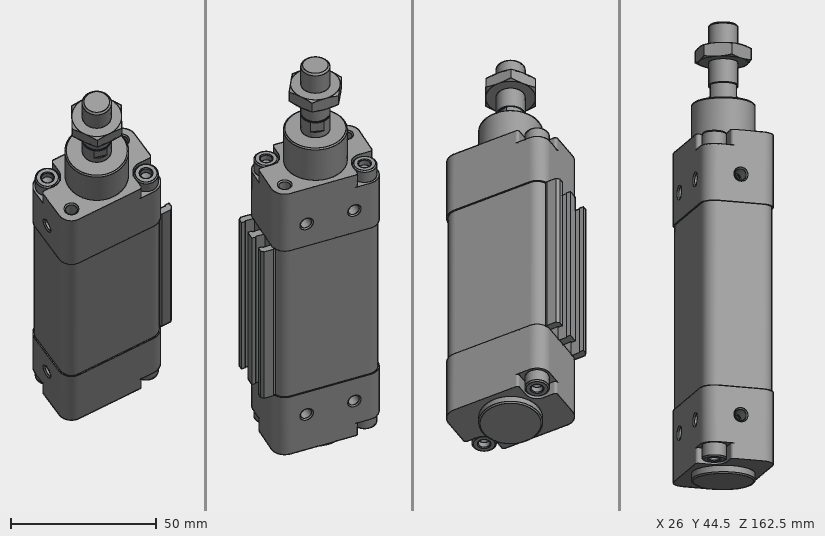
import cadquery as cq
import math

TOTAL_LENGTH = 162.5

CAP_WIDTH = 26.0
CAP_DEPTH = 40.0
CAP_HEIGHT = 25.7
CORNER_RADIUS = 5.0
TUBE_HEIGHT = 65.8
TUBE_INSET = 0.5

BOSS_DIAMETER = 22.0
REAR_BOSS_HEIGHT = 2.8
FRONT_BOSS_HEIGHT = 14.1
BOSS_CHAMFER = 0.5

RAIL_TOP_Y = CAP_DEPTH / 2 + 4.5
RAIL_HEAD_HEIGHT = 1.5
RAIL_LIP = 0.3
RAIL_CHAMFER = 1.0
RAIL_TAPER = 0.5
SIDE_RAIL_OUTER_X = 10.0
SIDE_RAIL_STEM = 2.5
MIDDLE_RAIL_STEM = 2.8

SCREW_POCKET_DEPTH = 5.5
SCREW_POCKET_RADIUS = 4.5
POCKET_MOUTH_RADIUS = 1.0
SCREW_HEAD_DIAMETER = 8.5
SCREW_HEAD_HEIGHT = 5.0
SCREW_HEAD_CHAMFER = 0.5
SOCKET_DIAMETER = 4.0
SOCKET_DEPTH = 2.5
SOCKET_CHAMFER = 0.3
SOCKET_CONE_SLOPE = 30.0

THREAD_HOLE_DIAMETER = 4.0
THREAD_HOLE_MOUTH = 5.0
THREAD_HOLE_DEPTH = 6.5
PILOT_DIAMETER = 3.1
PILOT_DEPTH = 8.1
SIDE_HOLE_SPACING = 17.9
SIDE_HOLE_OFFSET = 9.9

ROD_DIAMETER = 10.0
SHOULDER_Z = 141.0
SHOULDER_CHAMFER = 0.3
ROD_TIP_CHAMFER = 0.6
FLAT_WIDTH = 9.0
FLAT_BOTTOM_Z = 136.5
FLAT_ANGLE = -15.0

NUT_SIDES = 6
NUT_WIDTH = 17.0
NUT_HEIGHT = 4.9
NUT_BOTTOM_Z = 149.2
NUT_CHAMFER_ANGLE = 20.0

REAR_FACE_Z = REAR_BOSS_HEIGHT
REAR_JOINT_Z = REAR_FACE_Z + CAP_HEIGHT
FRONT_JOINT_Z = REAR_JOINT_Z + TUBE_HEIGHT
FRONT_FACE_Z = FRONT_JOINT_Z + CAP_HEIGHT
FRONT_BOSS_Z = FRONT_FACE_Z + FRONT_BOSS_HEIGHT

CORNER_X = CAP_WIDTH / 2 - CORNER_RADIUS
CORNER_Y = CAP_DEPTH / 2 - CORNER_RADIUS


def rounded_block(inset, bottom_z, height):
    """Upright block with rounded corners, set in from the cap sides."""
    return (
        cq.Workplane("XY", origin=(0, 0, bottom_z))
        .rect(CAP_WIDTH - 2 * inset, CAP_DEPTH - 2 * inset)
        .extrude(height)
        .edges("|Z")
        .fillet(CORNER_RADIUS - inset)
    )


def boss(bottom_z, height, outer_face):
    """Round boss with a chamfer on its outer face."""
    return (
        cq.Workplane("XY", origin=(0, 0, bottom_z))
        .circle(BOSS_DIAMETER / 2)
        .extrude(height)
        .faces(outer_face)
        .chamfer(BOSS_CHAMFER)
    )


def rail(points):
    """Rail of the given XY outline along the whole tube."""
    return cq.Workplane("XY", origin=(0, 0, REAR_JOINT_Z)).polyline(points).close().extrude(TUBE_HEIGHT)


def side_rail():
    """Rail on the +X edge, with its lip pointing inwards."""
    outer_x = SIDE_RAIL_OUTER_X
    stem_x = outer_x - SIDE_RAIL_STEM
    head_x = stem_x - RAIL_LIP
    head_y = RAIL_TOP_Y - RAIL_HEAD_HEIGHT
    root_x = outer_x - RAIL_TAPER
    return rail([
        (root_x, CORNER_Y),
        (root_x, CAP_DEPTH / 2 - 2 * RAIL_TAPER),
        (outer_x, CAP_DEPTH / 2),
        (outer_x, RAIL_TOP_Y - RAIL_CHAMFER),
        (outer_x - RAIL_CHAMFER, RAIL_TOP_Y),
        (head_x, RAIL_TOP_Y),
        (head_x, head_y),
        (stem_x, head_y - RAIL_LIP),
        (stem_x, CORNER_Y),
    ])


def middle_rail():
    """T-shaped rail on the YZ plane."""
    stem_x = MIDDLE_RAIL_STEM / 2
    head_x = stem_x + RAIL_LIP
    head_y = RAIL_TOP_Y - RAIL_HEAD_HEIGHT
    half = [(stem_x, CORNER_Y), (stem_x, head_y - RAIL_LIP), (head_x, head_y), (head_x, RAIL_TOP_Y)]
    other_half = [(-x, y) for x, y in reversed(half)]
    return rail(half + other_half)


def threaded_hole(point, inward):
    """Cutter for a stepped blind hole with a 45 degree mouth, entering at a point of a face."""
    start = cq.Vector(*point)
    direction = cq.Vector(*inward)
    mouth_depth = (THREAD_HOLE_MOUTH - THREAD_HOLE_DIAMETER) / 2
    bore = cq.Solid.makeCylinder(THREAD_HOLE_DIAMETER / 2, THREAD_HOLE_DEPTH, start, direction)
    pilot = cq.Solid.makeCylinder(PILOT_DIAMETER / 2, PILOT_DEPTH, start, direction)
    mouth = cq.Solid.makeCone(THREAD_HOLE_MOUTH / 2, THREAD_HOLE_DIAMETER / 2, mouth_depth, start, direction)
    return cq.Workplane(obj=bore.fuse(pilot, mouth))


def screw_pocket():
    """Cutter for the open corner pocket, centred on the screw axis, floor at Z = 0."""
    wall = SCREW_POCKET_RADIUS
    face = CORNER_RADIUS
    mouth = POCKET_MOUTH_RADIUS
    bulge = mouth * math.sqrt(0.5)
    mid_wall = wall * math.sqrt(0.5)
    return (
        cq.Workplane("XY")
        .moveTo(face, face)
        .lineTo(-wall - mouth, face)
        .threePointArc((-wall - mouth + bulge, face - mouth + bulge), (-wall, face - mouth))
        .lineTo(-wall, 0)
        .threePointArc((-mid_wall, -mid_wall), (0, -wall))
        .lineTo(face - mouth, -wall)
        .threePointArc((face - mouth + bulge, -wall - mouth + bulge), (face, -wall - mouth))
        .close()
        .extrude(SCREW_POCKET_DEPTH)
    )


def screw_head():
    """Cylindrical screw head standing on Z = 0, with a round socket ending in a cone."""
    socket_radius = SOCKET_DIAMETER / 2
    head = (
        cq.Workplane("XY")
        .circle(SCREW_HEAD_DIAMETER / 2)
        .extrude(SCREW_HEAD_HEIGHT)
        .faces(">Z")
        .chamfer(SCREW_HEAD_CHAMFER)
    )
    floor_z = SCREW_HEAD_HEIGHT - SOCKET_DEPTH
    tip_z = floor_z - socket_radius * math.tan(math.radians(SOCKET_CONE_SLOPE))
    socket = (
        cq.Workplane("XZ")
        .polyline([
            (0, tip_z),
            (socket_radius, floor_z),
            (socket_radius, SCREW_HEAD_HEIGHT - SOCKET_CHAMFER),
            (socket_radius + SOCKET_CHAMFER, SCREW_HEAD_HEIGHT),
            (0, SCREW_HEAD_HEIGHT),
        ])
        .close()
        .revolve(360, (0, 0), (0, 1))
    )
    return head.cut(socket)


def screw_places(shape):
    """Copies of a front screw feature at both screwed corners of both caps."""
    front = shape.translate((CORNER_X, CORNER_Y, FRONT_FACE_Z - SCREW_POCKET_DEPTH))
    middle = (0, 0, (REAR_FACE_Z + FRONT_FACE_Z) / 2)
    rear = front.mirror("XY", middle)
    copies = []
    for feature in (front, rear):
        copies.append(feature)
        copies.append(feature.rotate((0, 0, 0), (0, 0, 1), 180))
    return copies


def make_housing():
    """Both caps, the tube with its rails, the bosses and the screw heads."""
    body = rounded_block(TUBE_INSET, REAR_JOINT_Z, TUBE_HEIGHT)
    body = body.union(rounded_block(0, REAR_FACE_Z, CAP_HEIGHT))
    body = body.union(rounded_block(0, FRONT_JOINT_Z, CAP_HEIGHT))
    body = body.union(boss(0, REAR_BOSS_HEIGHT, "<Z"))
    body = body.union(boss(FRONT_FACE_Z, FRONT_BOSS_HEIGHT, ">Z"))

    body = body.union(side_rail()).union(side_rail().mirror("YZ")).union(middle_rail())

    for pocket in screw_places(screw_pocket()):
        body = body.cut(pocket)
    for head in screw_places(screw_head()):
        body = body.union(head)

    for side in (-1, 1):
        body = body.cut(threaded_hole((side * CORNER_X, -side * CORNER_Y, FRONT_FACE_Z), (0, 0, -1)))

    for hole_z in (REAR_JOINT_Z - SIDE_HOLE_OFFSET, FRONT_JOINT_Z + SIDE_HOLE_OFFSET):
        body = body.cut(threaded_hole((0, -CAP_DEPTH / 2, hole_z), (0, 1, 0)))
        for hole_y in (-SIDE_HOLE_SPACING / 2, SIDE_HOLE_SPACING / 2):
            body = body.cut(threaded_hole((-CAP_WIDTH / 2, hole_y, hole_z), (1, 0, 0)))
    return body


def make_rod():
    """Rod standing on the front boss: plain length with two wrench flats, then the threaded end."""
    radius = ROD_DIAMETER / 2
    plain = (
        cq.Workplane("XY", origin=(0, 0, FRONT_BOSS_Z))
        .circle(radius)
        .extrude(SHOULDER_Z - FRONT_BOSS_Z)
        .faces(">Z")
        .chamfer(SHOULDER_CHAMFER)
    )
    threaded = (
        cq.Workplane("XY", origin=(0, 0, SHOULDER_Z))
        .circle(radius)
        .extrude(TOTAL_LENGTH - SHOULDER_Z)
        .faces(">Z")
        .chamfer(ROD_TIP_CHAMFER)
    )
    cutter_offset = (FLAT_WIDTH + ROD_DIAMETER) / 2
    flat_cutters = (
        cq.Workplane("XY", origin=(0, 0, FLAT_BOTTOM_Z))
        .pushPoints([(-cutter_offset, 0), (cutter_offset, 0)])
        .rect(ROD_DIAMETER, ROD_DIAMETER)
        .extrude(SHOULDER_Z - SHOULDER_CHAMFER - FLAT_BOTTOM_Z)
        .rotate((0, 0, 0), (0, 0, 1), FLAT_ANGLE)
    )
    return plain.cut(flat_cutters).union(threaded)


def make_nut():
    """Hexagon nut with flats facing X and corners chamfered at both ends."""
    half_side_angle = 180 / NUT_SIDES
    flat_radius = NUT_WIDTH / 2
    corner_radius = flat_radius / math.cos(math.radians(half_side_angle))
    drop = (corner_radius - flat_radius) * math.tan(math.radians(NUT_CHAMFER_ANGLE))
    hexagon = (
        cq.Workplane("XY", origin=(0, 0, NUT_BOTTOM_Z))
        .polygon(NUT_SIDES, 2 * corner_radius)
        .extrude(NUT_HEIGHT)
        .rotate((0, 0, 0), (0, 0, 1), half_side_angle)
    )
    top_z = NUT_BOTTOM_Z + NUT_HEIGHT
    turned_blank = (
        cq.Workplane("XZ")
        .polyline([
            (ROD_DIAMETER / 2, NUT_BOTTOM_Z),
            (flat_radius, NUT_BOTTOM_Z),
            (corner_radius, NUT_BOTTOM_Z + drop),
            (corner_radius, top_z - drop),
            (flat_radius, top_z),
            (ROD_DIAMETER / 2, top_z),
        ])
        .close()
        .revolve(360, (0, 0), (0, 1))
    )
    return hexagon.intersect(turned_blank)


housing = make_housing()
rod = make_rod()
nut = make_nut()

result = cq.Compound.makeCompound([housing.val(), rod.val(), nut.val()])